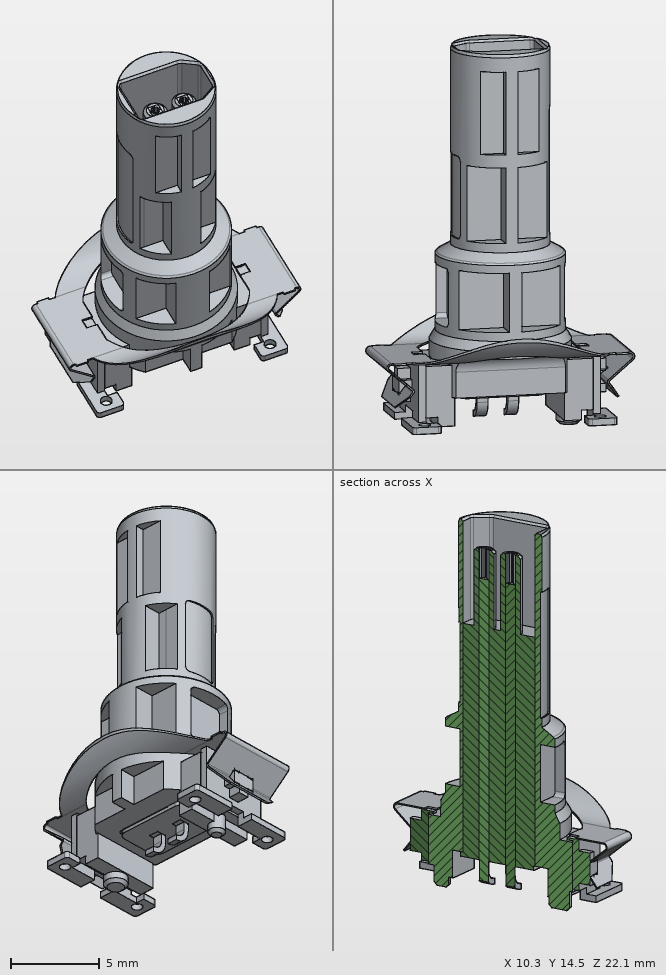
import cadquery as cq
import math

TOP_Z = 22.1
SHOULDER_TOP_Z = 10.63
SHOULDER_LOW_Z = 10.19
COLLAR_LOW_Z = 5.68
FLANGE_TOP_Z = 5.13
LEG_TOP_Z = 4.15
BASE_LOW_Z = 2.28
LEG_LOW_Z = 0.62

BARREL_R = 2.83
COLLAR_R = 3.71
FLANGE_R = 4.05
RIM_DROP = 0.18
RIM_INSET = 0.07
SHOULDER_EDGE = 0.1
RIB_HALF = 0.35
SIDE_POCKETS = [
    (-2.25, RIB_HALF, 16.29, 21.08),
    (-1.61, RIB_HALF, 11.15, 15.54),
    (-2.25, RIB_HALF, 6.19, 9.61),
    (2.25, RIB_HALF, 16.29, 21.08),
    (1.55, 0.93, 11.15, 15.54),
    (2.25, 1.05, 6.19, 9.61),
    (3.0, RIB_HALF, BASE_LOW_Z, LEG_TOP_Z),
]
PANEL_HALF = 1.1
PANEL_DEPTH = 0.09
PANEL_LOW_Z = 11.15
FRONT_PANEL_TOP_Z = 18.65
BACK_PANEL_TOP_Z = 15.93
PANEL_CORNER_R = 0.27
WINDOW_HALF = 1.5
WINDOW_FLOOR_Y = 2.75
WINDOW_LOW_Z = 6.17
WINDOW_TOP_Z = 9.57
WINDOW_CORNER_R = 0.27
UNDERCUT_X = 2.48
UNDERCUT_TOP_Z = 4.7
UNDERCUT_R = 0.93
LEG_HALF = 2.25
LEG_IN_Y = 3.2
LEG_OUT_Y = 4.88
LEG_NOTCH_Y = 4.2
LEG_NOTCH_Z = 1.17
POST_Y = 3.98
FRONT_POST_R = 0.7
BACK_POST_R = 0.5
POST_CHAMFER = 0.2

BORE_HALF = 1.5
BORE_BACK_Y = 2.52
BORE_FRONT_Y = -2.32
BORE_KEY_HALF = 0.88
BORE_KEY_Y = 1.55
BORE_CORNER_R = 0.22
BORE_SIDE_R = 0.45
MOUTH_CHAMFER = 0.13
BORE_FLOOR_Z = 15.91
INSERT_LOW_Z = 2.01
INSERT_FOOT_HALF = 1.55
INSERT_FOOT_BACK_Y = 2.7
INSERT_FOOT_FRONT_Y = -2.28
INSERT_FOOT_R = 0.5
SLEEVE_R = 0.69
SLEEVE_CHAMFER = 0.18
SLEEVE_TOP_Z = 20.55

CONTACT_YS = (1.1, -0.69)
CONTACT_W = 0.65
SOCKET_W = 0.38
SOCKET_DEPTH = 1.77
SOCKET_SLIT = 0.1
TAIL_T = 0.33
TAIL_BEND_Z = 1.5
SOLDER_Z = 0.53

PLATE_HALF = 2.2
PLATE_T = 0.45
PLATE_TOP_Z = 4.38
FOOT_HALF = 3.65
FOOT_IN_Y = 4.29
FOOT_GAP_HALF = 2.6
FOOT_OUT_Y = 5.97
FOOT_TOP_Z = 0.93
FOOT_CORNER_R = 0.2
FOOT_HOLE_X = 2.95
FOOT_HOLE_R = 0.33
POST_SLOT_HALF = 0.8
POST_SLOT_TOP_Z = 1.33
TAB_HALF = 0.3
TAB_IN_Y = 4.5
TAB_T = 0.15
CATCH_OUT_Y = 6.1
CATCH_HALF = 0.75
CATCH_LOW_Z = 2.35
CATCH_TOP_Z = 3.1
CATCH_RIB_HALF = 0.35
CATCH_RIB_LOW_Z = 1.77
CATCH_RIB_TOP_Z = 3.71

SHEET_T = 0.1
SHEET_MID_Z = PLATE_TOP_Z + SHEET_T / 2
SPRING_HALF = 2.55
SPRING_LENGTH = 14.48
SPRING_END_Y = SPRING_LENGTH / 2
BEND_R = 0.27
ARM_ANGLE = 40.0
ELBOW_Y = 5.64
ELBOW_R = 0.07
LIP_END_Y = 6.52
LIP_END_Z = 1.7
LIP_WIDE_Z = 2.5
LIP_END_HALF = 1.5
EAR_HALF = 2.67
EAR_IN_Y = 6.12
EAR_OUT_Y = 6.85
WING_R = 2.95
WING_HALF = 5.13
WING_EDGE = [(4.7, 2.98), (3.7, 4.85), (SPRING_HALF, 5.77)]
OPENING_RX = 4.2
OPENING_RY = 4.85
OPENING_FLAT_Y = 4.46
SPRING_NOTCH_HALF = 0.33
SPRING_NOTCH_Y = 5.1

SIDES = (1, -1)


def box(x0, x1, y0, y1, z0, z1):
    """Axis-aligned box between two opposite corners, given in any order."""
    size = (abs(x1 - x0), abs(y1 - y0), abs(z1 - z0))
    middle = ((x0 + x1) / 2, (y0 + y1) / 2, (z0 + z1) / 2)
    return cq.Workplane("XY").box(*size).translate(middle)


def prism(sketch_plane, points, length):
    """Closed polygon extruded equally to both sides of its plane."""
    return cq.Workplane(sketch_plane).polyline(points).close().extrude(length / 2, both=True)


def offset_path(points, distance):
    """Open path moved sideways to its left, with mitred corners."""
    headings = []
    for (a0, b0), (a1, b1) in zip(points, points[1:]):
        headings.append(math.atan2(b1 - b0, a1 - a0))
    headings = [headings[0]] + headings + [headings[-1]]
    moved = []
    for (a, b), before, after in zip(points, headings, headings[1:]):
        turn = math.remainder(after - before, 2 * math.pi)
        normal = before + turn / 2 + math.pi / 2
        reach = distance / math.cos(turn / 2)
        moved.append((a + reach * math.cos(normal), b + reach * math.sin(normal)))
    return moved


def bore_prism(z0, z1):
    """Keyed prism: straight sides, two large corners cut off at +Y."""
    outline = [
        (BORE_HALF, BORE_FRONT_Y),
        (BORE_HALF, BORE_KEY_Y),
        (BORE_KEY_HALF, BORE_BACK_Y),
        (-BORE_KEY_HALF, BORE_BACK_Y),
        (-BORE_HALF, BORE_KEY_Y),
        (-BORE_HALF, BORE_FRONT_Y),
    ]
    solid = cq.Workplane("XY").workplane(offset=z0).polyline(outline).close().extrude(z1 - z0)
    side_corners = cq.selectors.BoxSelector(
        (-FLANGE_R, BORE_KEY_Y - BORE_CORNER_R, z0), (FLANGE_R, BORE_KEY_Y + BORE_CORNER_R, z1)
    )
    solid = solid.edges(side_corners).edges("|Z").fillet(BORE_SIDE_R)
    end_corners = cq.Workplane(solid.val()).edges("|Z and (>Y or <Y)")
    return end_corners.fillet(BORE_CORNER_R)


def bore_mouth():
    """Lead-in chamfer around the open end of the bore."""
    rim = bore_prism(TOP_Z - MOUTH_CHAMFER, TOP_Z).faces("<Z").wires().toPending()
    return rim.extrude(MOUTH_CHAMFER, combine=False, taper=-45)


def turned_shell():
    profile = [
        (0, BASE_LOW_Z),
        (FLANGE_R, BASE_LOW_Z),
        (FLANGE_R, FLANGE_TOP_Z),
        (COLLAR_R, COLLAR_LOW_Z),
        (COLLAR_R, SHOULDER_LOW_Z - SHOULDER_EDGE),
        (COLLAR_R - SHOULDER_EDGE, SHOULDER_LOW_Z),
        (BARREL_R, SHOULDER_TOP_Z),
        (BARREL_R, TOP_Z - RIM_DROP),
        (BARREL_R - RIM_INSET, TOP_Z),
        (0, TOP_Z),
    ]
    return cq.Workplane("XZ").polyline(profile).close().revolve(360, (0, 0, 0), (0, 1, 0))


def side_pockets():
    """Corner cuts that leave a rib along each of the +X and -X sides."""
    cuts = cq.Workplane("XY")
    for floor_x, rib_half, z0, z1 in SIDE_POCKETS:
        outer_x = math.copysign(FLANGE_R, floor_x)
        for side in SIDES:
            cuts = cuts.add(box(floor_x, outer_x, side * rib_half, side * FLANGE_R, z0, z1))
    return cuts.combine()


def barrel_panel(side, z1):
    """Shallow panel that follows the curve of the barrel."""
    blank = box(-PANEL_HALF, PANEL_HALF, 0, side * FLANGE_R, PANEL_LOW_Z, z1)
    blank = blank.edges("|Y").fillet(PANEL_CORNER_R)
    core = cq.Workplane("XY").circle(BARREL_R - PANEL_DEPTH).extrude(TOP_Z)
    return blank.cut(core)


def collar_window(side):
    window = box(
        -WINDOW_HALF, WINDOW_HALF, side * WINDOW_FLOOR_Y, side * FLANGE_R, WINDOW_LOW_Z, WINDOW_TOP_Z
    )
    return window.edges("|Y").fillet(WINDOW_CORNER_R)


def base_undercut():
    """Flat on the -X side that runs out under the flange in a round."""
    cut = box(-2 * FLANGE_R, -UNDERCUT_X, -FLANGE_R, FLANGE_R, 0, UNDERCUT_TOP_Z)
    return cut.edges("|Y and >X and >Z").fillet(UNDERCUT_R)


def leg(side, post_r):
    """Leg block with a notch for the solder foot and a round locating post."""
    block = box(-LEG_HALF, LEG_HALF, side * LEG_IN_Y, side * LEG_OUT_Y, LEG_LOW_Z, LEG_TOP_Z)
    notch = box(-LEG_HALF, LEG_HALF, side * LEG_NOTCH_Y, side * LEG_OUT_Y, LEG_LOW_Z, LEG_NOTCH_Z)
    post = cq.Workplane("XY").center(0, side * POST_Y).circle(post_r).extrude(LEG_NOTCH_Z)
    return block.cut(notch).union(post.faces("<Z").chamfer(POST_CHAMFER))


def make_housing():
    body = turned_shell().cut(base_undercut()).cut(side_pockets())
    body = body.cut(barrel_panel(-1, FRONT_PANEL_TOP_Z)).cut(barrel_panel(1, BACK_PANEL_TOP_Z))
    for side in SIDES:
        body = body.cut(collar_window(side))
    body = body.union(leg(-1, FRONT_POST_R)).union(leg(1, BACK_POST_R))
    return body.cut(bore_prism(BASE_LOW_Z, TOP_Z)).cut(bore_mouth())


def make_insert():
    """Plug that closes the bore and carries one round sleeve around each contact."""
    foot = box(
        -INSERT_FOOT_HALF,
        INSERT_FOOT_HALF,
        INSERT_FOOT_FRONT_Y,
        INSERT_FOOT_BACK_Y,
        INSERT_LOW_Z,
        BASE_LOW_Z,
    )
    body = foot.edges("|Z").fillet(INSERT_FOOT_R).union(bore_prism(BASE_LOW_Z, BORE_FLOOR_Z))
    half = CONTACT_W / 2
    for y in CONTACT_YS:
        sleeve = cq.Workplane("XY").workplane(offset=BORE_FLOOR_Z).center(0, y).circle(SLEEVE_R)
        sleeve = sleeve.extrude(SLEEVE_TOP_Z - BORE_FLOOR_Z).faces(">Z").chamfer(SLEEVE_CHAMFER)
        body = body.union(sleeve)
        body = body.cut(box(-half, half, y - half, y + half, INSERT_LOW_Z, SLEEVE_TOP_Z))
    return body


def make_contact(y):
    """Square contact with a slit socket on top and a tail that curls towards +X below."""
    half = CONTACT_W / 2
    socket_z = SLEEVE_TOP_Z - SOCKET_DEPTH
    hole = SOCKET_W / 2
    slit = SOCKET_SLIT / 2
    stem = box(-half, half, -half, half, INSERT_LOW_Z, SLEEVE_TOP_Z)
    stem = stem.cut(box(-hole, hole, -hole, hole, socket_z, SLEEVE_TOP_Z))
    stem = stem.cut(box(-half, half, -slit, slit, socket_z, SLEEVE_TOP_Z))
    stem = stem.cut(box(-slit, slit, -half, half, socket_z, SLEEVE_TOP_Z))
    bend_r = TAIL_BEND_Z - SOLDER_Z
    inner_r = bend_r - TAIL_T
    bend_x = bend_r - half
    slant = math.sqrt(0.5)
    tail = (
        cq.Workplane("XZ")
        .moveTo(-half, INSERT_LOW_Z)
        .lineTo(-half, TAIL_BEND_Z)
        .threePointArc((bend_x - slant * bend_r, TAIL_BEND_Z - slant * bend_r), (bend_x, SOLDER_Z))
        .lineTo(bend_x, SOLDER_Z + TAIL_T)
        .threePointArc(
            (bend_x - slant * inner_r, TAIL_BEND_Z - slant * inner_r), (bend_x - inner_r, TAIL_BEND_Z)
        )
        .lineTo(bend_x - inner_r, INSERT_LOW_Z)
        .close()
        .extrude(half, both=True)
    )
    return stem.union(tail).translate((0, y, 0))


def make_bracket(side):
    """Upright plate with two solder feet, a catch for the spring and a top tab."""
    plate_out_y = LEG_OUT_Y + PLATE_T
    plate = box(-PLATE_HALF, PLATE_HALF, LEG_OUT_Y, plate_out_y, SOLDER_Z, PLATE_TOP_Z)
    feet = box(-FOOT_HALF, FOOT_HALF, FOOT_IN_Y, FOOT_OUT_Y, SOLDER_Z, FOOT_TOP_Z)
    slot = box(-POST_SLOT_HALF, POST_SLOT_HALF, FOOT_IN_Y, FOOT_OUT_Y, SOLDER_Z, POST_SLOT_TOP_Z)
    feet = feet.edges("|Z").fillet(FOOT_CORNER_R).cut(slot)
    feet = feet.cut(box(-FOOT_GAP_HALF, FOOT_GAP_HALF, FOOT_IN_Y, LEG_OUT_Y, SOLDER_Z, FOOT_TOP_Z))
    foot_mid_y = (FOOT_IN_Y + FOOT_OUT_Y) / 2
    holes = cq.Workplane("XY").pushPoints([(s * FOOT_HOLE_X, foot_mid_y) for s in SIDES])
    holes = holes.circle(FOOT_HOLE_R).extrude(FOOT_TOP_Z)
    tab = box(-TAB_HALF, TAB_HALF, TAB_IN_Y, plate_out_y, PLATE_TOP_Z - TAB_T, PLATE_TOP_Z)
    catch = box(-CATCH_HALF, CATCH_HALF, plate_out_y, CATCH_OUT_Y, CATCH_LOW_Z, CATCH_TOP_Z)
    rib = box(
        -CATCH_RIB_HALF, CATCH_RIB_HALF, plate_out_y, CATCH_OUT_Y, CATCH_RIB_LOW_Z, CATCH_RIB_TOP_Z
    )
    bracket = plate.cut(slot).union(feet).cut(holes).union(tab).union(catch).union(rib)
    return bracket if side > 0 else bracket.mirror("XZ")


def spring_wing(side):
    """Side band of the spring: curls upwards, with a rounded outer edge in plan."""
    centre = (side * SPRING_HALF, SHEET_MID_Z + WING_R)
    curl = cq.Workplane("XZ").center(*centre).circle(WING_R + SHEET_T / 2).circle(WING_R - SHEET_T / 2)
    curl = curl.extrude(SPRING_END_Y, both=True)
    edge = [(side * x, y) for x, y in WING_EDGE]
    upper = [(side * WING_HALF, 0)] + edge
    lower = [(x, -y) for x, y in reversed(edge)]
    plan = cq.Workplane("XY").moveTo(*lower[0]).spline(lower[1:] + upper, includeCurrent=True).close()
    return curl.intersect(plan.extrude(centre[1]))


def spring_arm():
    """Flat top, hairpin bend, arm sloping back to the elbow, and lip turned out again (+Y end)."""
    half_angle = math.radians(ARM_ANGLE) / 2
    tip_y = SPRING_END_Y - BEND_R + (BEND_R - SHEET_T / 2) / math.tan(half_angle)
    elbow_z = SHEET_MID_Z - (tip_y - ELBOW_Y) * math.tan(2 * half_angle)
    centres = [(0, SHEET_MID_Z), (tip_y, SHEET_MID_Z), (ELBOW_Y, elbow_z), (LIP_END_Y, LIP_END_Z)]
    left = offset_path(centres, SHEET_T / 2)
    right = offset_path(centres, -SHEET_T / 2)
    strip = prism("YZ", left + right[::-1], 2 * SPRING_HALF)
    bends = [
        (left[1], BEND_R),
        (right[1], BEND_R - SHEET_T),
        (left[2], ELBOW_R),
        (right[2], ELBOW_R + SHEET_T),
    ]
    for point, radius in bends:
        corner = cq.selectors.NearestToPointSelector((0, *point))
        strip = strip.edges("|X").edges(corner).fillet(radius)
    sheet_top_z = PLATE_TOP_Z + SHEET_T
    ear = box(-EAR_HALF, EAR_HALF, EAR_IN_Y, EAR_OUT_Y, PLATE_TOP_Z, sheet_top_z)
    notch = box(-SPRING_NOTCH_HALF, SPRING_NOTCH_HALF, 0, SPRING_NOTCH_Y, PLATE_TOP_Z, sheet_top_z)
    window = box(-CATCH_HALF, CATCH_HALF, 0, CATCH_OUT_Y, CATCH_RIB_LOW_Z, CATCH_RIB_TOP_Z)
    return strip.union(ear).cut(notch).cut(window)


def spring_opening():
    """Oval clearance around the flange with flat ends."""
    oval = cq.Workplane("XY").ellipse(OPENING_RX, OPENING_RY).extrude(TOP_Z)
    return oval.intersect(box(-OPENING_RX, OPENING_RX, -OPENING_FLAT_Y, OPENING_FLAT_Y, 0, TOP_Z))


def lip_corners():
    """Wedges that narrow both lips towards their free end."""
    slope = (SPRING_HALF - LIP_END_HALF) / (LIP_WIDE_Z - LIP_END_Z)
    wedges = cq.Workplane("XY")
    for side in SIDES:
        corners = [
            (side * SPRING_HALF, LIP_WIDE_Z),
            (side * (SPRING_HALF - slope * LIP_WIDE_Z), 0),
            (side * SPRING_HALF, 0),
        ]
        wedges = wedges.add(prism("XZ", corners, 4 * SPRING_END_Y))
    return wedges.combine()


def make_spring():
    arm = spring_arm()
    spring = arm.union(arm.mirror("XZ"))
    for side in SIDES:
        spring = spring.union(spring_wing(side))
    return spring.cut(spring_opening()).cut(lip_corners())


housing = make_housing()
insert = make_insert()
spring = make_spring()
contacts = [make_contact(y) for y in CONTACT_YS]
brackets = [make_bracket(side) for side in SIDES]

result = cq.Compound.makeCompound(
    [
        housing.val(),
        insert.val(),
        spring.val(),
        *[contact.val() for contact in contacts],
        *[bracket.val() for bracket in brackets],
    ]
)